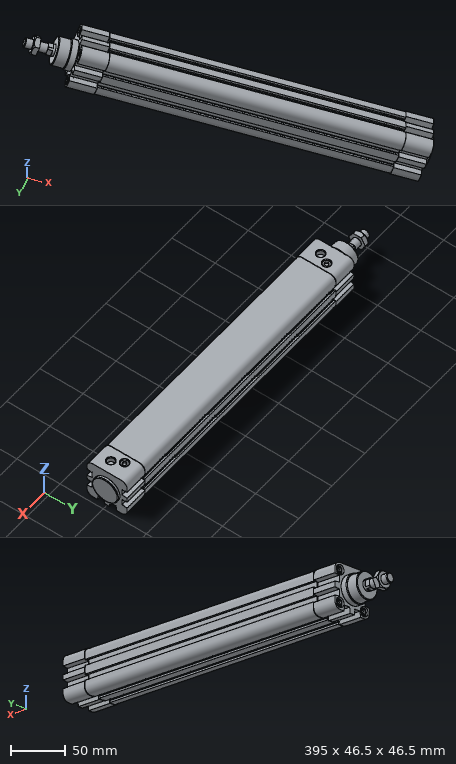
import cadquery as cq
import math

total_length = 395.0
cover_front = 48.0
cover_length = 27.3
rear_collar_length = 3.0
cover_rear = total_length - rear_collar_length
barrel_front = cover_front + cover_length
barrel_rear = cover_rear - cover_length

cover_width = 46.5
barrel_width = 46.0
corner_radius = 7.0

cover_groove_floor = 17.5
cover_groove_inner = 2.8
cover_groove_outer = 11.0
cover_groove_taper = 0.8
barrel_groove_floor = 18.0
barrel_groove_inner = 4.5
barrel_groove_outer = 10.3
barrel_lip_thickness = 2.5
barrel_undercut = 1.0

collar_diameter = 30.0
nose_diameter = 28.0
nose_start = 29.2
front_collar_start = 41.0
rim_chamfer = 0.8

screw_offset = 16.0
screw_recess_diameter = 10.0
screw_head_diameter = 8.3
screw_recess_depth = 4.0
screw_head_height = 3.0
screw_head_chamfer = 0.8
socket_diameter = 4.7
socket_depth = 2.0

hole_diameter = 8.3
hole_rim_diameter = 10.0
port_depth = 6.0
port_inset = 13.0
port_y = -5.5
cushion_depth = 1.0
cushion_inset = 19.0
cushion_y = 6.0

rod_diameter = 12.0
thread_diameter = 10.0
thread_length = 22.0
flats_width = 10.0
flats_end = 27.0
nut_start = 7.5
nut_width = 17.0
nut_thickness = 6.0
nut_corner_width = nut_width / math.cos(math.pi / 6)
nut_chamfer = 1.5
tip_chamfer = 0.8


def x_cylinder(diameter, start, end, y=0.0, z=0.0):
    """Cylinder along X between two X positions."""
    plane = cq.Workplane("YZ", origin=(start, y, z))
    return plane.circle(diameter / 2).extrude(end - start)


def x_bar(start, end, y_range, z_range):
    """Rectangular bar along X with the given Y and Z limits."""
    (y_low, y_high), (z_low, z_high) = y_range, z_range
    bar = cq.Workplane("XY").box(end - start, y_high - y_low, z_high - z_low, centered=False)
    return bar.translate((start, y_low, z_low))


def spread_grooves(groove):
    """Repeat one +Y groove on both sides of the rib, on the two sides and the underside."""
    pair = groove.union(groove.mirror("XY"))
    grooves = pair
    for angle in (-90, 180):
        grooves = grooves.union(pair.rotate((0, 0, 0), (1, 0, 0), angle))
    return grooves


def make_section(start, end, width):
    """Square length of the housing with rounded long corners."""
    block = cq.Workplane("YZ", origin=(start, 0, 0)).rect(width, width).extrude(end - start)
    return block.edges("|X").fillet(corner_radius)


def make_cover(start, end):
    """End cover with grooves that narrow towards their floors."""
    face = cover_width / 2
    groove_outline = [
        (face, cover_groove_inner),
        (face, cover_groove_outer),
        (cover_groove_floor, cover_groove_outer - cover_groove_taper),
        (cover_groove_floor, cover_groove_inner + cover_groove_taper),
    ]
    groove = cq.Workplane("YZ", origin=(start, 0, 0)).polyline(groove_outline).close().extrude(end - start)
    return make_section(start, end, cover_width).cut(spread_grooves(groove))


def make_barrel():
    """Barrel with T-shaped grooves that widen behind a thin lip."""
    face = barrel_width / 2
    mouth = x_bar(
        barrel_front, barrel_rear,
        (barrel_groove_floor, face),
        (barrel_groove_inner, barrel_groove_outer),
    )
    undercut = x_bar(
        barrel_front, barrel_rear,
        (barrel_groove_floor, face - barrel_lip_thickness),
        (barrel_groove_inner - barrel_undercut, barrel_groove_outer + barrel_undercut),
    )
    barrel = make_section(barrel_front, barrel_rear, barrel_width)
    return barrel.cut(spread_grooves(mouth.union(undercut)))


def cut_cover_screw(body, y, z):
    """Recessed socket-head screw in the front face."""
    head_face = cover_front + screw_recess_depth - screw_head_height
    recess = x_cylinder(screw_recess_diameter, cover_front, cover_front + screw_recess_depth, y, z)
    head = x_cylinder(screw_head_diameter, head_face, cover_front + screw_recess_depth, y, z)
    head = head.faces("<X").chamfer(screw_head_chamfer)
    socket = x_cylinder(socket_diameter, head_face, head_face + socket_depth, y, z)
    return body.cut(recess.cut(head)).cut(socket)


def cut_top_hole(body, x, y, depth):
    """Blind hole with a chamfered rim in the top of a cover."""
    top = cover_width / 2
    hole = cq.Workplane("XY", origin=(x, y, top)).circle(hole_diameter / 2).extrude(-depth)
    rim_depth = (hole_rim_diameter - hole_diameter) / 2
    rim = cq.Solid.makeCone(hole_diameter / 2, hole_rim_diameter / 2, rim_depth)
    rim = cq.Workplane(rim).translate((x, y, top - rim_depth))
    return body.cut(hole).cut(rim)


def cut_top_ports(body, outer_face, inward):
    """Port hole and recessed cushion screw in the top of one cover."""
    cushion_x = outer_face + inward * cushion_inset
    body = cut_top_hole(body, outer_face + inward * port_inset, port_y, port_depth)
    body = cut_top_hole(body, cushion_x, cushion_y, cushion_depth)
    socket = cq.Workplane("XY", origin=(cushion_x, cushion_y, cover_width / 2 - cushion_depth))
    return body.cut(socket.circle(socket_diameter / 2).extrude(-socket_depth))


def make_housing():
    """Covers, barrel, nose and collars, bored for the rod."""
    body = make_barrel()
    body = body.union(make_cover(cover_front, barrel_front))
    body = body.union(make_cover(barrel_rear, cover_rear))
    nose = x_cylinder(nose_diameter, nose_start, cover_front).faces("<X").chamfer(rim_chamfer)
    front_collar = x_cylinder(collar_diameter, front_collar_start, cover_front)
    front_collar = front_collar.faces("<X").chamfer(rim_chamfer)
    rear_collar = x_cylinder(collar_diameter, cover_rear, total_length).faces(">X").chamfer(rim_chamfer)
    body = body.union(nose).union(front_collar).union(rear_collar)
    for y in (-screw_offset, screw_offset):
        for z in (-screw_offset, screw_offset):
            body = cut_cover_screw(body, y, z)
    body = cut_top_ports(body, cover_front, 1)
    body = cut_top_ports(body, cover_rear, -1)
    return body.cut(x_cylinder(rod_diameter, nose_start, barrel_front))


def make_rod():
    """Rod with threaded end, lock nut and four spanner flats."""
    thread = x_cylinder(thread_diameter, 0, thread_length).faces("<X").chamfer(tip_chamfer)
    shank = x_cylinder(rod_diameter, flats_end, barrel_front)
    flats_plane = cq.Workplane("YZ", origin=(thread_length, 0, 0))
    flats_length = flats_end - thread_length
    flats = flats_plane.rect(flats_width, flats_width).extrude(flats_length)
    flats = flats.intersect(x_cylinder(rod_diameter, thread_length, flats_end))
    nut = cq.Workplane("YZ", origin=(nut_start, 0, 0)).polygon(6, nut_corner_width).extrude(nut_thickness)
    nut_envelope = x_cylinder(nut_corner_width, nut_start, nut_start + nut_thickness)
    nut = nut.intersect(nut_envelope.faces("<X").chamfer(nut_chamfer))
    return thread.union(flats).union(shank).union(nut)


housing = make_housing()
rod = make_rod()

result = cq.Compound.makeCompound([housing.val(), rod.val()])